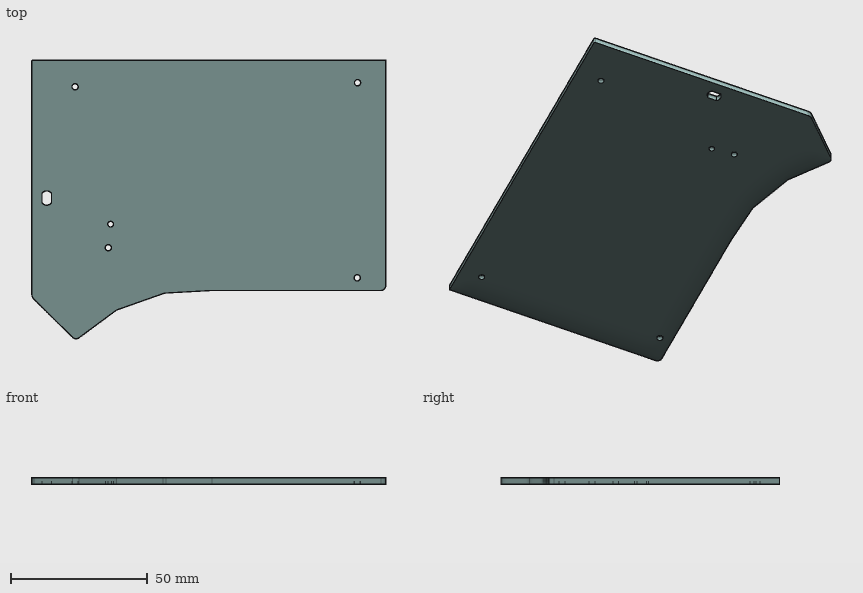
import cadquery as cq
import math

length = 129.55
depth = 102.03
thickness = 2.5

straight_edge_y = 17.67
straight_edge_start_x = 65.9
tip_x = 16.06
tip_left_angle = math.radians(44.55)
tip_right_angle = math.radians(36.45)
inner_bend_x = 31.0
outer_bend = (48.57, 16.7)

front_right_radius = 1.8
left_radius = 2.65
tip_radius = 1.75
outer_bend_radius = 4.2
back_left_radius = 0.5

screw_hole_diameter = 2.2
screw_holes = [(15.87, 92.24), (119.22, 93.73), (119.1, 22.33), (28.02, 33.35)]
pin_hole_diameter = 2.0
pin_hole = (28.88, 41.98)

slot_width = 3.4
slot_height = 5.15
slot_center = (5.49, 51.53)
slot_end_radius = 2.1


def make_plate():
    center_height = (
        tip_radius
        * (math.sin(tip_left_angle) + math.sin(tip_right_angle))
        / math.sin(tip_left_angle + tip_right_angle)
    )
    tip_y = tip_radius - center_height
    left_corner = (0, tip_y + tip_x * math.tan(tip_left_angle))
    inner_bend = (inner_bend_x, tip_y + (inner_bend_x - tip_x) * math.tan(tip_right_angle))
    front_right = (length, straight_edge_y)
    back_left = (0, depth)

    outline = [
        back_left,
        left_corner,
        (tip_x, tip_y),
        inner_bend,
        outer_bend,
        (straight_edge_start_x, straight_edge_y),
        front_right,
        (length, depth),
    ]
    plate = cq.Workplane("XY").polyline(outline).close().extrude(thickness)

    rounded_corners = [
        (back_left, back_left_radius),
        (left_corner, left_radius),
        ((tip_x, tip_y), tip_radius),
        (outer_bend, outer_bend_radius),
        (front_right, front_right_radius),
    ]
    for (x, y), radius in rounded_corners:
        nearest_edge = cq.selectors.NearestToPointSelector((x, y, thickness / 2))
        plate = plate.edges("|Z").edges(nearest_edge).fillet(radius)
    return plate


def hole_cutters(centers, diameter):
    return cq.Workplane("XY").pushPoints(centers).circle(diameter / 2).extrude(thickness)


def slot_cutter():
    half_width = slot_width / 2
    half_height = slot_height / 2
    end_rise = slot_end_radius - math.sqrt(slot_end_radius**2 - half_width**2)
    side_half_height = half_height - end_rise
    return (
        cq.Workplane("XY")
        .center(*slot_center)
        .moveTo(-half_width, -side_half_height)
        .threePointArc((0, -half_height), (half_width, -side_half_height))
        .lineTo(half_width, side_half_height)
        .threePointArc((0, half_height), (-half_width, side_half_height))
        .close()
        .extrude(thickness)
    )


result = (
    make_plate()
    .cut(hole_cutters(screw_holes, screw_hole_diameter))
    .cut(hole_cutters([pin_hole], pin_hole_diameter))
    .cut(slot_cutter())
)